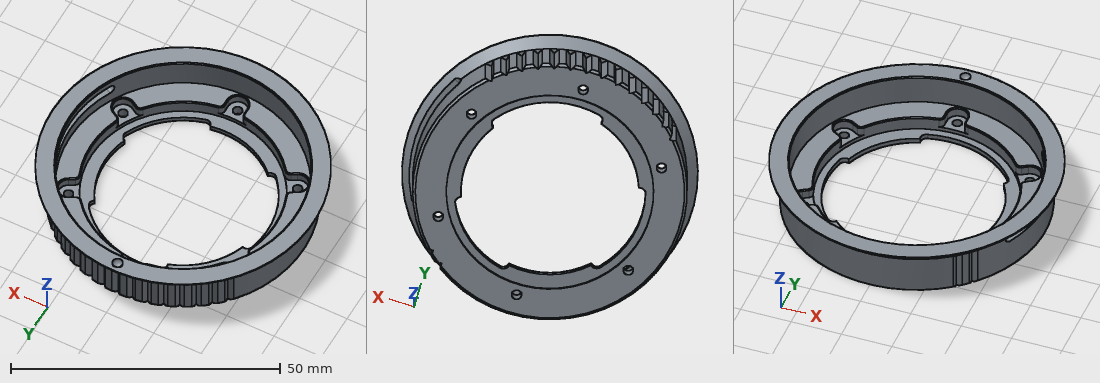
import cadquery as cq
import math

height = 10.2
flange_radius = 55.0 / 2
flange_lip = 0.2
body_radius = 51.0 / 2
foot_chamfer = 0.5
rim_depth = flange_lip + flange_radius - body_radius

bore_radius = 47.5 / 2
seat_radius = 38.5 / 2
seat_z = 4.1
ledge_z = 1.4
underside_recess_depth = 0.35
edge_break = 0.2

lug_radius = 16.5
gap_radius = 17.75
gap_angles = [(33.5, 108.5), (160.5, 225.5), (280.5, 339.5)]
gap_corner_radius = 1.2

pocket_count = 6
first_pocket_angle = 30.0
pocket_circle_radius = 21.3
pocket_radius = 2.05
pocket_floor_z = 2.2
pocket_mouth_fillet = 1.0
screw_hole_diameter = 1.8

dimple_radius = 1.0
dimple_circle_radius = 25.6

slot_bottom_z = 6.6
slot_height = 2.0
slot_start_angle = -29.0
slot_end_angle = 32.8

notch_half_width = 0.9
notch_pitch = 7.0
long_row_start = 138.0
long_row_count = 14
short_row_start = -52.0
short_row_count = 2

overshoot = 1.1


def polar(radius, angle):
    """Point at a radius and an angle in degrees."""
    turn = math.radians(angle)
    return radius * math.cos(turn), radius * math.sin(turn)


def disc(radius, bottom_z, top_z):
    return cq.Workplane("XY").workplane(offset=bottom_z).circle(radius).extrude(top_z - bottom_z)


def make_blank():
    """Flanged ring, solid in the middle, with the wide bore already opened."""
    return (
        cq.Workplane("XZ")
        .moveTo(0, 0)
        .lineTo(body_radius - foot_chamfer, 0)
        .lineTo(body_radius, foot_chamfer)
        .lineTo(body_radius, height - rim_depth)
        .lineTo(flange_radius, height - flange_lip)
        .lineTo(flange_radius, height)
        .lineTo(bore_radius + edge_break, height)
        .lineTo(bore_radius, height - edge_break)
        .lineTo(bore_radius, seat_z)
        .lineTo(0, seat_z)
        .close()
        .revolve(360, (0, 0, 0), (0, 1, 0))
    )


def make_pockets():
    """Round-ended screw pockets running inward into the central recess."""
    depth = seat_z - pocket_floor_z
    pockets = disc(seat_radius, pocket_floor_z, seat_z)
    for index in range(pocket_count):
        pocket = (
            cq.Workplane("XY")
            .workplane(offset=pocket_floor_z)
            .center(pocket_circle_radius, 0)
            .circle(pocket_radius)
            .extrude(depth)
            .union(
                cq.Workplane("XY")
                .box(pocket_circle_radius, 2 * pocket_radius, depth, centered=(False, True, False))
                .translate((0, 0, pocket_floor_z))
            )
        )
        angle = first_pocket_angle + index * 360 / pocket_count
        pockets = pockets.union(pocket.rotate((0, 0, 0), (0, 0, 1), angle))
    mouth_radius = seat_radius + pocket_mouth_fillet
    mouth = cq.selectors.BoxSelector(
        (-mouth_radius, -mouth_radius, pocket_floor_z), (mouth_radius, mouth_radius, seat_z)
    )
    return pockets.edges("|Z").edges(mouth).fillet(pocket_mouth_fillet)


def cut_pockets(ring):
    """Open the recess and pockets, then break their shared top edge."""
    ring = ring.cut(make_pockets())
    seat = ring.faces(cq.selectors.NearestToPointSelector((0, 0, seat_z)))
    return ring.newObject(seat.val().innerWires()).chamfer(edge_break)


def make_gap(start, end):
    """Bayonet gap between two lugs, with rounded outer corners."""
    gap = (
        cq.Workplane("XY")
        .lineTo(*polar(gap_radius, start))
        .threePointArc(polar(gap_radius, (start + end) / 2), polar(gap_radius, end))
        .close()
        .extrude(ledge_z)
    )
    for angle in (start, end):
        corner = (*polar(gap_radius, angle), ledge_z / 2)
        gap = gap.edges("|Z").edges(cq.selectors.NearestToPointSelector(corner)).fillet(gap_corner_radius)
    return gap


def make_opening():
    """Central recess down to the ledge, and the bayonet opening below it."""
    opening = disc(seat_radius, ledge_z, pocket_floor_z).union(disc(lug_radius, 0, ledge_z))
    for start, end in gap_angles:
        opening = opening.union(make_gap(start, end))
    return opening


def make_screw_holes():
    return (
        cq.Workplane("XY")
        .polarArray(pocket_circle_radius, first_pocket_angle, 360, pocket_count)
        .circle(screw_hole_diameter / 2)
        .extrude(pocket_floor_z)
    )


def make_dimple():
    """Half-ball index mark on the +Y side of the rim."""
    return cq.Workplane("XY").sphere(dimple_radius).translate((0, dimple_circle_radius, height))


def make_slot():
    """Slot along part of the wall, with full round ends."""
    end_radius = slot_height / 2
    middle_z = slot_bottom_z + end_radius
    outer_radius = flange_radius + overshoot
    inner_radius = bore_radius - overshoot
    inset = math.degrees(end_radius / body_radius)
    first = slot_start_angle + inset
    last = slot_end_angle - inset
    middle_radius = (outer_radius + inner_radius) / 2
    slot = (
        cq.Workplane("XZ", origin=(middle_radius, 0, middle_z))
        .rect(outer_radius - inner_radius, slot_height)
        .revolve(last - first, (-middle_radius, 0, 0), (-middle_radius, -1, 0))
    )
    slot = slot.rotate((0, 0, 0), (0, 0, 1), last)
    for angle in (first, last):
        end = (
            cq.Workplane("YZ", origin=(inner_radius, 0, middle_z))
            .circle(end_radius)
            .extrude(outer_radius - inner_radius)
        )
        slot = slot.union(end.rotate((0, 0, 0), (0, 0, 1), angle))
    return slot


def make_notch(angle):
    """V notch with a 90 degree point, running from the foot up to the flange."""
    notch = (
        cq.Workplane("XY")
        .moveTo(body_radius - notch_half_width, 0)
        .lineTo(body_radius + overshoot, notch_half_width + overshoot)
        .lineTo(body_radius + overshoot, -notch_half_width - overshoot)
        .close()
        .extrude(height - rim_depth)
    )
    return notch.rotate((0, 0, 0), (0, 0, 1), angle)


def cut_notch_row(ring, start, pitch, count):
    for index in range(count):
        ring = ring.cut(make_notch(start + index * pitch))
    return ring


result = cut_pockets(make_blank())
result = result.cut(make_opening()).cut(disc(seat_radius, 0, underside_recess_depth))
result = result.cut(make_screw_holes()).cut(make_dimple()).cut(make_slot())
result = cut_notch_row(result, long_row_start, -notch_pitch, long_row_count)
result = cut_notch_row(result, short_row_start, notch_pitch, short_row_count)